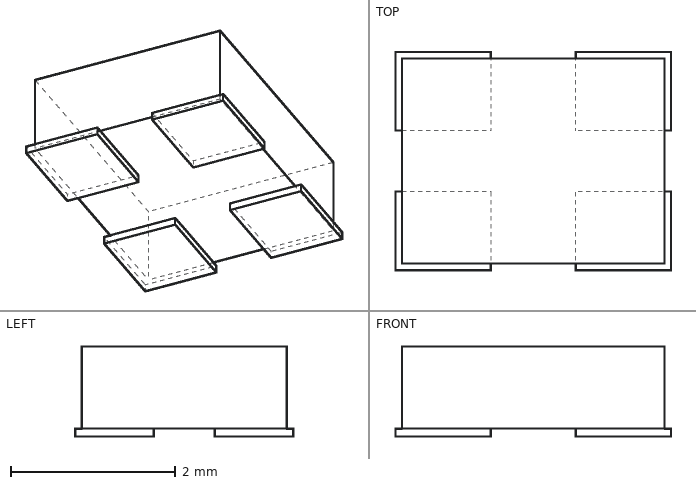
import cadquery as cq

footprint_length = 3.36
footprint_width = 2.66
total_height = 1.1

pad_length = 1.163
pad_width = 0.96
pad_thickness = 0.097

pad_margin = 0.08

package_length = footprint_length - 2 * pad_margin
package_width = footprint_width - 2 * pad_margin
package_height = total_height - pad_thickness

pad_center_x = (footprint_length - pad_length) / 2
pad_center_y = (footprint_width - pad_width) / 2


def make_package():
    """Plain rectangular block resting on top of the pads."""
    return (
        cq.Workplane("XY", origin=(0, 0, pad_thickness))
        .box(package_length, package_width, package_height, centered=(True, True, False))
    )


def make_pad(center_x, center_y):
    """Flat rectangular pad with its underside at Z = 0."""
    return (
        cq.Workplane("XY", origin=(center_x, center_y, 0))
        .box(pad_length, pad_width, pad_thickness, centered=(True, True, False))
    )


package = make_package()

pads = []
for side_x in (-1, 1):
    for side_y in (-1, 1):
        pad = make_pad(side_x * pad_center_x, side_y * pad_center_y)
        pads.append(pad.val())

result = cq.Compound.makeCompound([package.val(), *pads])